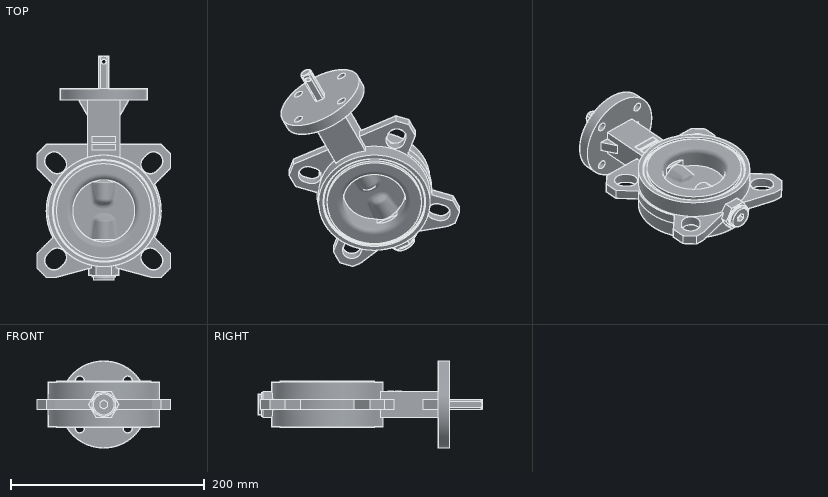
import cadquery as cq
import math


BODY_RADIUS = 57.6
BODY_HEIGHT = 46.0
SEAT_RADIUS = 48.75
SEAT_HEIGHT = 48.0
BORE_RADIUS = 32.0
MOUTH_FILLET = 6.2
GROOVE_RADIUS = 52.9
GROOVE_FLOOR_RADIUS = 51.9
GROOVE_DEPTH = 3.0
GROOVE_LEDGE_DEPTH = 2.5

STEM_FLAT_Y = 29.8
STEM_FLAT_HALF_HEIGHT = 11.3
STEM_FLAT_SLOPE = 30.0

PLATE_THICKNESS = 10.4
PLATE_DISC_RADIUS = 59.4
LUG_REACH = 69.0
LUG_CHAMFER = 10.0
LUG_EDGE_END = 44.0
LUG_FLANK_RUN = LUG_EDGE_END / 2
LUG_FOOT_X = 50.0
PLATE_FOOT_Y = -59.0
PLATE_FOOT_HALF_WIDTH = 13.0
LUG_SLOT_RADIUS = 9.5
LUG_SLOT_OUTER = 51.3
LUG_SLOT_INNER = 48.0
HOLE_COUNT = 4
FIRST_HOLE_ANGLE = 45.0

NECK_WIDTH = 34.0
NECK_DEPTH = 27.0
FLANGE_DIAMETER = 90.0
FLANGE_BACK_Y = 114.3
FLANGE_THICKNESS = 12.0
FLANGE_FRONT_Y = FLANGE_BACK_Y + FLANGE_THICKNESS
FLANGE_BOLT_CIRCLE = 70.0
FLANGE_BOLT_HOLE = 9.0
GUSSET_START_Y = 98.5
GUSSET_WIDTH = 9.0
LABEL_WIDTH = 24.7
LABEL_HEIGHT = 0.6
LABEL_BARS = ((62.8, 5.6), (70.4, 6.3))

STEM_END_Y = 160.1
STEM_SQUARE = 10.6
STEM_ROUND = 12.4
STEM_CHAMFER = 1.3
STEM_HOLE = 4.8
STEM_HOLE_Y = 154.0

HEX_FLATS = 27.0
HEX_END_Y = -66.7
COLLAR_DIAMETER = 24.6
COLLAR_END_Y = -68.2
PLUG_DIAMETER = 21.6
PLUG_END_Y = -71.6
SOCKET_FLATS = 8.0
SOCKET_DEPTH = 5.0

DISC_THICKNESS = 4.6
HUB_RADIUS = 10.0
HUB_NOSE_Y = 7.1
HUB_TIP_Y = 12.0
HUB_ROOT_Y = 33.0
HUB_TIP_CREST = 6.0
HUB_ROOT_CREST = 6.7
HUB_ROOT_FOOT = 15.3
HUB_ROOT_ANGLE = 40.0
HUB_ROOT_BULGE = 0.02
HUB_FILLET = 5.0
FOOT_TOLERANCE = 0.01


def cylinder_y(diameter, y_start, y_end):
    """Cylinder on the stem axis between two Y positions."""
    plane = cq.Workplane("XZ", origin=(0, y_start, 0))
    return plane.circle(diameter / 2).extrude(y_start - y_end)


def across_corners(flats):
    """Corner-to-corner size of a hexagon given its size across flats."""
    return flats / math.cos(math.pi / 6)


def slab(outline, thickness):
    """Outline in the XY plane thickened evenly about Z = 0."""
    return outline.extrude(thickness / 2, both=True)


def make_body():
    """Solid round body with a seat ring and a stepped groove on both faces."""
    body = slab(cq.Workplane("XY").circle(BODY_RADIUS), BODY_HEIGHT)
    seat = slab(cq.Workplane("XY").circle(SEAT_RADIUS), SEAT_HEIGHT)
    body = body.union(seat)
    top_z = BODY_HEIGHT / 2
    floor_z = top_z - GROOVE_DEPTH
    ledge_z = top_z - GROOVE_LEDGE_DEPTH
    groove = (
        cq.Workplane("XZ")
        .polyline(
            [
                (SEAT_RADIUS, floor_z),
                (GROOVE_FLOOR_RADIUS, floor_z),
                (GROOVE_FLOOR_RADIUS, ledge_z),
                (GROOVE_RADIUS, ledge_z),
                (GROOVE_RADIUS, top_z),
                (SEAT_RADIUS, top_z),
            ]
        )
        .close()
        .revolve(360, (0, 0, 0), (0, 1, 0))
    )
    return body.cut(groove).cut(groove.mirror("XY"))


def make_lug_plate():
    """Plate with four chamfered lugs joined to a disc around the body."""
    lug_inner = LUG_REACH - LUG_CHAMFER
    right_side = [
        (lug_inner, LUG_REACH),
        (LUG_REACH, lug_inner),
        (LUG_REACH, LUG_EDGE_END),
        (LUG_REACH - LUG_FLANK_RUN, LUG_EDGE_END - LUG_FLANK_RUN),
        (LUG_REACH - LUG_FLANK_RUN, LUG_FLANK_RUN - LUG_EDGE_END),
        (LUG_REACH, -LUG_EDGE_END),
        (LUG_REACH, -lug_inner),
        (lug_inner, -LUG_REACH),
        (LUG_FOOT_X, -LUG_REACH),
        (PLATE_FOOT_HALF_WIDTH, PLATE_FOOT_Y),
    ]
    left_side = [(-x, y) for x, y in reversed(right_side)]
    plate = slab(cq.Workplane("XY").polyline(right_side + left_side).close(), PLATE_THICKNESS)
    return plate.union(slab(cq.Workplane("XY").circle(PLATE_DISC_RADIUS), PLATE_THICKNESS))


def make_lug_slots():
    """Cutter for the radial bolt slots, kept outside the round body."""
    inner = LUG_SLOT_INNER * math.sqrt(2)
    outer = LUG_SLOT_OUTER * math.sqrt(2)
    length = outer - inner + 2 * LUG_SLOT_RADIUS
    outline = (
        cq.Workplane("XY")
        .polarArray((inner + outer) / 2, FIRST_HOLE_ANGLE, 360, HOLE_COUNT)
        .slot2D(length, 2 * LUG_SLOT_RADIUS)
    )
    return slab(outline, PLATE_THICKNESS).cut(
        slab(cq.Workplane("XY").circle(BODY_RADIUS), PLATE_THICKNESS)
    )


def make_neck():
    """Rectangular neck with raised label bars and two gussets under the flange."""
    neck = cq.Workplane("XY").box(NECK_WIDTH, FLANGE_BACK_Y, NECK_DEPTH, centered=(True, False, True))
    for lower_edge, width in LABEL_BARS:
        bar = cq.Workplane("XY", origin=(0, lower_edge, NECK_DEPTH / 2)).box(
            LABEL_WIDTH, width, LABEL_HEIGHT, centered=(True, False, False)
        )
        neck = neck.union(bar)
    half_width = NECK_WIDTH / 2
    gussets = (
        cq.Workplane("XY")
        .moveTo(half_width, GUSSET_START_Y)
        .lineTo(half_width + GUSSET_WIDTH, FLANGE_BACK_Y)
        .lineTo(-half_width - GUSSET_WIDTH, FLANGE_BACK_Y)
        .lineTo(-half_width, GUSSET_START_Y)
        .close()
    )
    return neck.union(slab(gussets, PLATE_THICKNESS))


def make_flange():
    """Round actuator flange with four bolt holes."""
    flange = cylinder_y(FLANGE_DIAMETER, FLANGE_BACK_Y, FLANGE_FRONT_Y)
    holes = (
        cq.Workplane("XZ", origin=(0, FLANGE_BACK_Y, 0))
        .polarArray(FLANGE_BOLT_CIRCLE / 2, FIRST_HOLE_ANGLE, 360, HOLE_COUNT)
        .circle(FLANGE_BOLT_HOLE / 2)
        .extrude(-FLANGE_THICKNESS)
    )
    return flange.cut(holes)


def make_stem():
    """Square stem with rounded corners, a chamfered end and a cross hole."""
    length = STEM_END_Y - FLANGE_FRONT_Y
    square = cq.Workplane("XY", origin=(0, FLANGE_FRONT_Y, 0)).box(
        STEM_SQUARE, length, STEM_SQUARE, centered=(True, False, True)
    )
    bar = cylinder_y(STEM_ROUND, FLANGE_FRONT_Y, STEM_END_Y)
    stem = bar.faces(">Y").chamfer(STEM_CHAMFER).intersect(square)
    hole = cq.Workplane("XY").center(0, STEM_HOLE_Y).circle(STEM_HOLE / 2)
    return stem.cut(slab(hole, 2 * STEM_SQUARE))


def make_plug():
    """Hexagonal boss, collar and round plug with a hexagon socket."""
    hexagon = (
        cq.Workplane("XZ", origin=(0, -SEAT_RADIUS, 0))
        .polygon(6, across_corners(HEX_FLATS))
        .extrude(-SEAT_RADIUS - HEX_END_Y)
    )
    collar = cylinder_y(COLLAR_DIAMETER, HEX_END_Y, COLLAR_END_Y)
    head = cylinder_y(PLUG_DIAMETER, COLLAR_END_Y, PLUG_END_Y)
    socket = (
        cq.Workplane("XZ", origin=(0, PLUG_END_Y, 0))
        .transformed(rotate=(0, 0, 30))
        .polygon(6, across_corners(SOCKET_FLATS))
        .extrude(-SOCKET_DEPTH)
    )
    return hexagon.union(collar).union(head).cut(socket)


def make_bore():
    """Bore cutter: rounded mouths, with the wall left flat at the stem ends."""
    half_height = SEAT_HEIGHT / 2
    straight = half_height - MOUTH_FILLET
    mouth_radius = BORE_RADIUS + MOUTH_FILLET
    bend = MOUTH_FILLET * math.sqrt(0.5)
    bore = (
        cq.Workplane("XZ")
        .moveTo(0, -half_height)
        .lineTo(mouth_radius, -half_height)
        .threePointArc((mouth_radius - bend, -straight - bend), (BORE_RADIUS, -straight))
        .lineTo(BORE_RADIUS, straight)
        .threePointArc((mouth_radius - bend, straight + bend), (mouth_radius, half_height))
        .lineTo(0, half_height)
        .close()
        .revolve(360, (0, 0, 0), (0, 1, 0))
    )
    depth = BORE_RADIUS - STEM_FLAT_Y
    rise = depth * math.tan(math.radians(STEM_FLAT_SLOPE))
    pad = (
        cq.Workplane("YZ")
        .moveTo(STEM_FLAT_Y, -STEM_FLAT_HALF_HEIGHT)
        .lineTo(STEM_FLAT_Y, STEM_FLAT_HALF_HEIGHT)
        .lineTo(BORE_RADIUS, STEM_FLAT_HALF_HEIGHT + rise)
        .lineTo(BORE_RADIUS, -STEM_FLAT_HALF_HEIGHT - rise)
        .close()
        .extrude(BORE_RADIUS, both=True)
    )
    return bore.cut(pad).cut(pad.mirror("XZ"))


def hub_section(y, crest_x, flank_bulge, fillet_start, fillet_x):
    """Cross-section of a hub: round crown, two flanks and foot fillets ending on the disc face.

    The flank runs from the crown at crest_x to the point fillet_start, bulging sideways by
    flank_bulge; the fillet meets the disc face at fillet_x.
    """
    face_z = DISC_THICKNESS / 2
    crest = (crest_x, math.sqrt(HUB_RADIUS**2 - crest_x**2))
    run = fillet_start[0] - crest[0]
    drop = crest[1] - fillet_start[1]
    flank_length = math.hypot(run, drop)
    flank_middle = (
        (crest[0] + fillet_start[0]) / 2 + flank_bulge * drop / flank_length,
        (crest[1] + fillet_start[1]) / 2 + flank_bulge * run / flank_length,
    )
    fillet_centre_z = face_z + HUB_FILLET
    half_turn = math.atan2(fillet_x - fillet_start[0], fillet_centre_z - fillet_start[1]) / 2
    fillet_middle = (
        fillet_x - HUB_FILLET * math.sin(half_turn),
        fillet_centre_z - HUB_FILLET * math.cos(half_turn),
    )

    def left(point):
        return (-point[0], point[1])

    return (
        cq.Workplane("XZ", origin=(0, y, 0))
        .moveTo(-fillet_x, 0)
        .lineTo(-fillet_x, face_z)
        .threePointArc(left(fillet_middle), left(fillet_start))
        .threePointArc(left(flank_middle), left(crest))
        .threePointArc((0, HUB_RADIUS), crest)
        .threePointArc(flank_middle, fillet_start)
        .threePointArc(fillet_middle, (fillet_x, face_z))
        .lineTo(fillet_x, 0)
        .close()
        .wires()
        .val()
    )


def make_hub_flanks():
    """Widening part of the hub, from a plain cylinder at the tip to sloping flanks at the root."""
    reach = HUB_RADIUS + HUB_FILLET
    tip_centre_z = DISC_THICKNESS / 2 + HUB_FILLET
    tip_centre_x = math.sqrt(reach**2 - tip_centre_z**2)
    tip_start = (tip_centre_x * HUB_RADIUS / reach, tip_centre_z * HUB_RADIUS / reach)
    tip_crest_z = math.sqrt(HUB_RADIUS**2 - HUB_TIP_CREST**2)
    tip_chord = math.hypot(tip_start[0] - HUB_TIP_CREST, tip_crest_z - tip_start[1])
    tip_bulge = HUB_RADIUS - math.sqrt(HUB_RADIUS**2 - (tip_chord / 2) ** 2)
    tip = hub_section(HUB_TIP_Y, HUB_TIP_CREST, tip_bulge, tip_start, tip_centre_x)

    angle = math.radians(HUB_ROOT_ANGLE)
    root_start = (
        HUB_ROOT_FOOT - HUB_FILLET * math.sin(angle),
        tip_centre_z - HUB_FILLET * math.cos(angle),
    )
    root = hub_section(HUB_ROOT_Y, HUB_ROOT_CREST, HUB_ROOT_BULGE, root_start, HUB_ROOT_FOOT)
    return cq.Workplane(cq.Solid.makeLoft([tip, root], True))


def make_disc():
    """Disc with a hub towards each stem end on both faces."""
    face_z = DISC_THICKNESS / 2
    blank = cq.Workplane("XY").box(4 * BORE_RADIUS, 4 * BORE_RADIUS, face_z, centered=(True, True, False))
    core = cylinder_y(2 * HUB_RADIUS, HUB_NOSE_Y, HUB_ROOT_Y)
    core = core.faces("<Y").edges().fillet(HUB_TIP_Y - HUB_NOSE_Y)
    upper = cq.Workplane("XY").box(4 * HUB_RADIUS, 2 * HUB_ROOT_Y, HUB_RADIUS, centered=(True, True, False))
    nose = blank.union(core.intersect(upper))
    foot_low = (-HUB_ROOT_FOOT, 0, face_z - FOOT_TOLERANCE)
    foot_high = (HUB_ROOT_FOOT, HUB_ROOT_Y - FOOT_TOLERANCE, face_z + FOOT_TOLERANCE)
    nose = nose.edges(cq.selectors.BoxSelector(foot_low, foot_high)).fillet(HUB_FILLET)
    nose_zone = cq.Workplane("XY").box(
        2 * BORE_RADIUS, HUB_TIP_Y, 2 * HUB_RADIUS, centered=(True, False, True)
    )
    quarter = nose.intersect(nose_zone).union(make_hub_flanks())
    half = quarter.union(quarter.mirror("XZ"))
    hubs = half.union(half.mirror("XY"))
    limit = slab(cq.Workplane("XY").circle(BORE_RADIUS), BODY_HEIGHT)
    plain_disc = slab(cq.Workplane("XY").circle(BORE_RADIUS), DISC_THICKNESS)
    return plain_disc.union(hubs.intersect(limit))


result = (
    make_body()
    .union(make_lug_plate())
    .cut(make_lug_slots())
    .union(make_neck())
    .union(make_flange())
    .union(make_stem())
    .union(make_plug())
    .cut(make_bore())
    .union(make_disc())
)